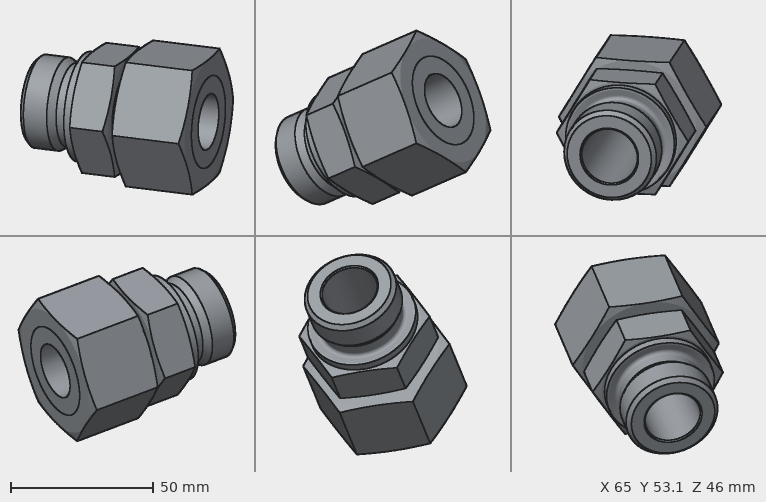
import cadquery as cq
import math


thread_chamfer_end = 1.6
thread_end = 10.4
neck_start = 13.3
flange_face = 18.0
body_hex_start = 21.0
body_hex_end = 35.05
nut_start = 38.0
total_length = 65.0

bore_radius = 10.0
thread_tip_radius = 15.15
thread_radius = 16.65
neck_radius = 14.95
flange_recess_radius = 18.7
flange_radius = 19.55
shank_radius = 16.5

recess_root_radius = 1.3
recess_cone_angle = math.radians(15)

body_hex_flats = 41.0
nut_hex_flats = 46.0
hex_chamfer_angle = math.radians(15)

bore_chamfer = 0.5


def x_cylinder(x_start, x_end, radius):
    """Cylinder on the X axis between two X positions."""
    return cq.Workplane("YZ", origin=(x_start, 0, 0)).circle(radius).extrude(x_end - x_start)


def chamfered_hex(x_start, x_end, across_flats):
    """Hexagonal prism with corners on +-Y, its corners turned down to a cone at both ends."""
    flat_radius = across_flats / 2
    corner_radius = flat_radius / math.cos(math.pi / 6)
    chamfer_depth = (corner_radius - flat_radius) * math.tan(hex_chamfer_angle)
    prism = (
        cq.Workplane("YZ", origin=(x_start, 0, 0))
        .polygon(6, 2 * corner_radius)
        .extrude(x_end - x_start)
    )
    turned_blank = (
        cq.Workplane("XY")
        .moveTo(x_start, 0)
        .lineTo(x_start, flat_radius)
        .lineTo(x_start + chamfer_depth, corner_radius)
        .lineTo(x_end - chamfer_depth, corner_radius)
        .lineTo(x_end, flat_radius)
        .lineTo(x_end, 0)
        .close()
        .revolve(360, (0, 0, 0), (1, 0, 0))
    )
    return prism.intersect(turned_blank)


def make_stud():
    """Threaded end, relief neck and flange, with the seal recess sunk into the flange face."""
    cone_sin = math.sin(recess_cone_angle)
    cone_cos = math.cos(recess_cone_angle)
    root_center_radius = neck_radius + recess_root_radius
    cone_start_radius = root_center_radius + recess_root_radius * cone_sin
    cone_depth = (flange_recess_radius - cone_start_radius) * math.tan(recess_cone_angle)
    cone_start = flange_face + cone_depth
    root_center = cone_start - recess_root_radius * cone_cos

    mid_angle = (recess_cone_angle - math.pi / 2) / 2
    root_middle = (
        root_center + recess_root_radius * math.cos(mid_angle),
        root_center_radius + recess_root_radius * math.sin(mid_angle),
    )
    return (
        cq.Workplane("XY")
        .moveTo(0, 0)
        .lineTo(0, thread_tip_radius)
        .lineTo(thread_chamfer_end, thread_radius)
        .lineTo(thread_end, thread_radius)
        .lineTo(neck_start, neck_radius)
        .lineTo(root_center, neck_radius)
        .threePointArc(root_middle, (cone_start, cone_start_radius))
        .lineTo(flange_face, flange_recess_radius)
        .lineTo(flange_face, flange_radius)
        .lineTo(body_hex_start, flange_radius)
        .lineTo(body_hex_start, 0)
        .close()
        .revolve(360, (0, 0, 0), (1, 0, 0))
    )


def make_fitting_body():
    """Stud, wrench hexagon and shank in one piece, bored through."""
    bore = x_cylinder(0, total_length, bore_radius)
    body = (
        make_stud()
        .union(chamfered_hex(body_hex_start, body_hex_end, body_hex_flats))
        .union(x_cylinder(body_hex_end, total_length, shank_radius))
        .cut(bore)
    )
    bore_mouth = body.faces("<X").edges(cq.selectors.RadiusNthSelector(0))
    return bore_mouth.chamfer(bore_chamfer)


def make_union_nut():
    """Hexagonal nut that fits around the shank."""
    shank_hole = x_cylinder(nut_start, total_length, shank_radius)
    return chamfered_hex(nut_start, total_length, nut_hex_flats).cut(shank_hole)


fitting_body = make_fitting_body()
union_nut = make_union_nut()

result = cq.Compound.makeCompound([fitting_body.val(), union_nut.val()])